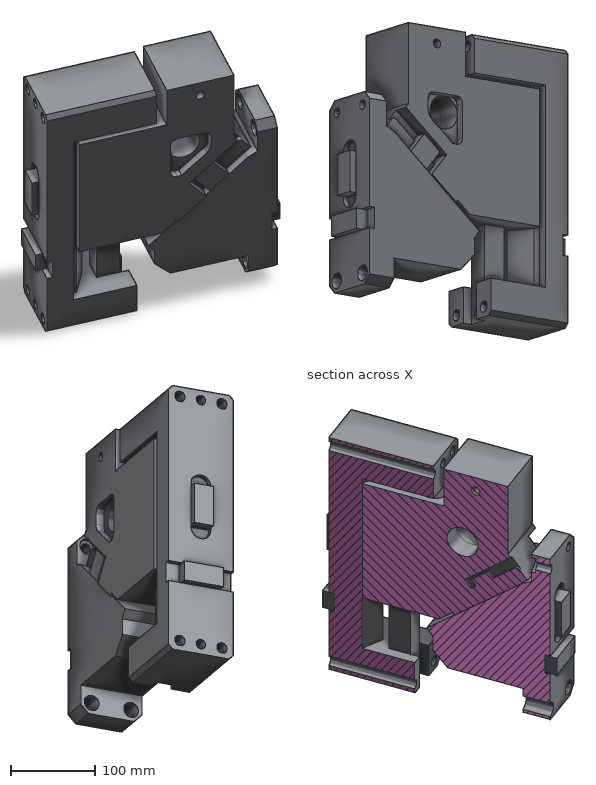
import cadquery as cq
import math

overall_height = 340.0
overall_width = 85.0
mount_face_y = 145.5

ramp_top_y = 108.0
ramp_top_z = 203.5
ramp_end_y = -16.5
ramp_end_z = 100.3
ramp_angle = math.atan2(ramp_top_z - ramp_end_z, ramp_top_y - ramp_end_y)

key_width = 24.5
key_length = 50.5
key_protrusion = 8.5
seat_width = 26.0
seat_depth = 6.8
oval_seat_length = 82.0

base_width = 80.2
tab_front_y = 120.7
tab_top_z = 250.2
tab_face_bottom_z = 210.0
nose_y = -9.2
nose_top_z = 90.0
nose_bottom_z = 70.0
belly_z = 49.5
belly_front_y = 11.0
foot_front_y = 109.5
foot_bottom_z = 15.0
base_corner_chamfer = 10.2
screw_offset_x = 26.0
tab_screw_edge_distance = 15.3
foot_screw_edge_distance = 14.3
screw_diameter = 11.2
tab_counterbore_diameter = 20.0
tab_counterbore_depth = 5.0
foot_hole_diameter = 19.0
base_oval_key_z = 155.5
base_cross_key_z = 95.0

block_rear_y = 90.0
head_front_y = 5.5
shoulder_z = 286.0
block_front_y = -104.5
block_bottom_z = 118.0
rear_end_along = -10.0
relief_start_along = 115.3
relief_height = 3.5
groove_end_along = 68.7
groove_overrun = 3.5
tongue_width = 59.0
tongue_height = 21.0
tongue_end_fillet = 4.5
neck_width = 46.5
neck_top_height = 34.0
lug_start = 30.5
lug_length = 30.3
lug_height = 31.3
pocket_rear_y = 61.0
pocket_front_y = 10.2
pocket_top_z = 260.5
pocket_slope_foot_y = 24.0
pocket_bottom_z = 201.3
pocket_depth = 10.5
pocket_fillet = 8.5
pocket_slope_fillet = 13.5
bore_diameter = 40.0
pin_hole_diameter = 10.5
pin_hole_depth = 20.5
pin_hole_drop = 19.7
drill_tip_angle = 118.0
top_recess_y = -17.5
top_recess_radius = 18.5
top_recess_depth = 6.8

upper_arm_rear_y = -7.8
upper_arm_bottom_z = 292.0
lower_arm_rear_y = -32.3
lower_arm_top_z = 44.5
spine_inner_y = -112.2
frame_corner_chamfer = 5.5
frame_hole_spacing = 27.5
frame_hole_edge_distance = 12.5
frame_outer_hole_diameter = 13.3
frame_middle_hole_diameter = 12.0
frame_oval_key_z = 189.7
frame_cross_key_z = 100.3
column_center_y = -58.5
column_size_x = 26.0
column_size_y = 28.5
rail_half_width = 30.5
rail_flank_angle = 30.0


def ramp_point(along, height):
    """(Y, Z) of a point given down the ramp from its top and square to the ramp."""
    y = ramp_top_y - along * math.cos(ramp_angle) - height * math.sin(ramp_angle)
    z = ramp_top_z - along * math.sin(ramp_angle) + height * math.cos(ramp_angle)
    return y, z


def ramp_rectangle(start, end, bottom, top):
    """Corners of a rectangle lined up with the ramp."""
    return [
        ramp_point(start, bottom),
        ramp_point(end, bottom),
        ramp_point(end, top),
        ramp_point(start, top),
    ]


def side_profile(points, width):
    """Solid with a YZ outline, centred on X."""
    return cq.Workplane("YZ").polyline(points).close().extrude(width / 2, both=True)


def box_between(width, y_min, y_max, z_min, z_max):
    """Box centred on X between two Y and two Z limits."""
    return (
        cq.Workplane("XY")
        .box(width, y_max - y_min, z_max - z_min, centered=(True, False, False))
        .translate((0, y_min, z_min))
    )


def y_cylinder(x, z, diameter, y_min, y_max):
    """Cylinder along Y between two Y limits."""
    return cq.Workplane(
        cq.Solid.makeCylinder(diameter / 2, y_max - y_min, cq.Vector(x, y_min, z), cq.Vector(0, 1, 0))
    )


def add_keys(body, side, oval_z, cross_z):
    """Cut an oval seat and a cross slot in a mounting face and stand a key in each.

    side is +1 for the face at +Y and -1 for the face at -Y.
    """
    floor_y = side * (mount_face_y - seat_depth)
    outward = cq.Workplane("XZ", origin=(0, floor_y, 0))
    reach = -side * seat_depth
    oval_seat = outward.center(0, oval_z).slot2D(oval_seat_length, seat_width, 90).extrude(reach)
    cross_slot = outward.center(0, cross_z).rect(overall_width, seat_width).extrude(reach)
    key_reach = -side * (seat_depth + key_protrusion)
    upright_key = outward.center(0, oval_z).rect(key_width, key_length).extrude(key_reach)
    cross_key = outward.center(0, cross_z).rect(key_length, key_width).extrude(key_reach)
    return body.cut(oval_seat).cut(cross_slot).union(upright_key).union(cross_key)


def base_blank():
    outline = [
        (mount_face_y, foot_bottom_z),
        (mount_face_y, tab_top_z),
        (tab_front_y, tab_top_z),
        (tab_front_y, tab_face_bottom_z),
        (ramp_top_y, ramp_top_z),
        (ramp_end_y, ramp_end_z),
        (nose_y, nose_top_z),
        (nose_y, nose_bottom_z),
        (belly_front_y, belly_z),
        (foot_front_y, belly_z),
        (foot_front_y, foot_bottom_z),
    ]
    blank = side_profile(outline, base_width)
    blank = blank.faces(">Z").edges("|Y").chamfer(base_corner_chamfer)
    return blank.faces("<Z").edges("|Y").chamfer(base_corner_chamfer)


def base_screw_holes(body):
    tab_z = tab_top_z - tab_screw_edge_distance
    foot_z = foot_bottom_z + foot_screw_edge_distance
    counterbore_floor_y = tab_front_y + tab_counterbore_depth
    for x in (-screw_offset_x, screw_offset_x):
        body = body.cut(y_cylinder(x, tab_z, screw_diameter, tab_front_y, mount_face_y))
        body = body.cut(y_cylinder(x, tab_z, tab_counterbore_diameter, tab_front_y, counterbore_floor_y))
        body = body.cut(y_cylinder(x, foot_z, foot_hole_diameter, foot_front_y, mount_face_y))
    return body


def make_base():
    body = base_screw_holes(base_blank())
    return add_keys(body, 1, base_oval_key_z, base_cross_key_z)


def block_blank():
    end_height = (ramp_point(rear_end_along, 0)[0] - block_rear_y) / math.sin(ramp_angle)
    relief_end_along = (ramp_point(0, relief_height)[1] - block_bottom_z) / math.sin(ramp_angle)
    outline = [
        (block_rear_y, overall_height),
        (head_front_y, overall_height),
        (head_front_y, shoulder_z),
        (block_front_y, shoulder_z),
        (block_front_y, block_bottom_z),
        ramp_point(relief_end_along, relief_height),
        ramp_point(relief_start_along, relief_height),
        ramp_point(relief_start_along, 0),
        ramp_point(rear_end_along, 0),
        ramp_point(rear_end_along, end_height),
    ]
    return side_profile(outline, overall_width)


def cut_tongue(body):
    """Narrow the sides next to the ramp to a T-shaped tongue on a thinner neck."""
    start = rear_end_along
    groove_outline = ramp_rectangle(
        start - groove_overrun, groove_end_along, -groove_overrun, neck_top_height
    )
    groove = side_profile(groove_outline, overall_width)
    neck = side_profile(ramp_rectangle(start, groove_end_along, 0, neck_top_height), neck_width)
    tongue = side_profile(ramp_rectangle(start, groove_end_along, 0, tongue_height), tongue_width)
    top_corner_y, top_corner_z = ramp_point(start, tongue_height)
    top_corner = cq.selectors.NearestToPointSelector((0, top_corner_y, top_corner_z))
    tongue = tongue.edges(top_corner).fillet(tongue_end_fillet)
    return body.cut(groove.cut(neck).cut(tongue))


def tongue_lugs():
    """Lugs bulging from both sides of the tongue, flush with the sides of the base."""
    return side_profile(ramp_rectangle(lug_start, lug_start + lug_length, 0, lug_height), base_width)


def cut_cross_bore(body):
    """Through bore along X with a shallow rounded pocket around it on both sides."""
    radius = bore_diameter / 2
    bore = (
        cq.Workplane("YZ")
        .center(pocket_front_y + radius, pocket_top_z - radius)
        .circle(radius)
        .extrude(overall_width, both=True)
    )
    slope_top_z = pocket_bottom_z + (pocket_rear_y - pocket_slope_foot_y) * math.tan(ramp_angle)
    outline = [
        (pocket_rear_y, pocket_top_z),
        (pocket_front_y, pocket_top_z),
        (pocket_front_y, pocket_bottom_z),
        (pocket_slope_foot_y, pocket_bottom_z),
        (pocket_rear_y, slope_top_z),
    ]
    pocket = side_profile(outline, overall_width)
    slope_top = cq.selectors.NearestToPointSelector((0, pocket_rear_y, slope_top_z))
    pocket = pocket.edges(slope_top).fillet(pocket_slope_fillet)
    pocket = pocket.edges("|X and >Z").fillet(pocket_fillet)
    pocket = pocket.edges("|X and <Y and <Z").fillet(pocket_fillet)
    web_width = overall_width - 2 * pocket_depth
    web = box_between(web_width, pocket_front_y, pocket_rear_y, pocket_bottom_z, pocket_top_z)
    return body.cut(bore).cut(pocket.cut(web))


def cut_pin_holes(body):
    """Blind drilled hole with a conical tip in each side of the head."""
    y = (block_rear_y + head_front_y) / 2
    z = overall_height - pin_hole_drop
    radius = pin_hole_diameter / 2
    tip = radius / math.tan(math.radians(drill_tip_angle / 2))
    half_section = [
        (0, z),
        (pin_hole_depth + tip, z),
        (pin_hole_depth, z + radius),
        (0, z + radius),
    ]
    drill = (
        cq.Workplane("XZ")
        .polyline(half_section)
        .close()
        .revolve(360, (0, z, 0), (1, z, 0))
        .translate((-overall_width / 2, y, 0))
    )
    return body.cut(drill).cut(drill.mirror("YZ"))


def cut_top_recess(body):
    """Shallow round recess in the shoulder under the upper arm."""
    recess_floor = cq.Workplane("XY", origin=(0, top_recess_y, shoulder_z - top_recess_depth))
    return body.cut(recess_floor.circle(top_recess_radius).extrude(top_recess_depth))


def make_slide_block():
    body = cut_tongue(block_blank()).union(tongue_lugs())
    body = cut_cross_bore(body)
    body = cut_pin_holes(body)
    body = cut_top_recess(body)
    return body.cut(frame_column()).cut(frame_rail())


def frame_blank():
    outline = [
        (-mount_face_y, 0),
        (-mount_face_y, overall_height),
        (upper_arm_rear_y, overall_height),
        (upper_arm_rear_y, upper_arm_bottom_z),
        (spine_inner_y, upper_arm_bottom_z),
        (spine_inner_y, lower_arm_top_z),
        (lower_arm_rear_y, lower_arm_top_z),
        (lower_arm_rear_y, 0),
    ]
    blank = side_profile(outline, overall_width)
    return blank.edges("|Y and (>Z or <Z)").edges("<X or >X").chamfer(frame_corner_chamfer)


def frame_column():
    """Rectangular column joining the two arms."""
    return box_between(
        column_size_x,
        column_center_y - column_size_y / 2,
        column_center_y + column_size_y / 2,
        lower_arm_top_z,
        upper_arm_bottom_z,
    )


def lower_arm_slot():
    """Slot through the lower arm, as wide as the column and running from it to the rear end."""
    column_rear_y = column_center_y + column_size_y / 2
    return box_between(column_size_x, column_rear_y, lower_arm_rear_y, 0, lower_arm_top_z)


def frame_rail():
    """Roof-shaped rail running up the inside of the spine."""
    ridge_y = block_front_y + rail_half_width * math.tan(math.radians(rail_flank_angle))
    section = [
        (-rail_half_width, spine_inner_y),
        (rail_half_width, spine_inner_y),
        (rail_half_width, block_front_y),
        (0, ridge_y),
        (-rail_half_width, block_front_y),
    ]
    rail = cq.Workplane("XY", origin=(0, 0, lower_arm_top_z)).polyline(section).close()
    return rail.extrude(upper_arm_bottom_z - lower_arm_top_z)


def frame_holes(body):
    """Three holes through each arm, along Y."""
    holes = (
        (-frame_hole_spacing, frame_outer_hole_diameter),
        (0, frame_middle_hole_diameter),
        (frame_hole_spacing, frame_outer_hole_diameter),
    )
    for z in (frame_hole_edge_distance, overall_height - frame_hole_edge_distance):
        for x, diameter in holes:
            body = body.cut(y_cylinder(x, z, diameter, -mount_face_y, upper_arm_rear_y))
    return body


def make_clamp_frame():
    body = frame_holes(frame_blank()).cut(lower_arm_slot())
    body = body.union(frame_column()).union(frame_rail())
    return add_keys(body, -1, frame_oval_key_z, frame_cross_key_z)


base = make_base()
slide_block = make_slide_block()
clamp_frame = make_clamp_frame()

result = cq.Compound.makeCompound([
    base.solids().val(),
    slide_block.solids().val(),
    clamp_frame.solids().val(),
])